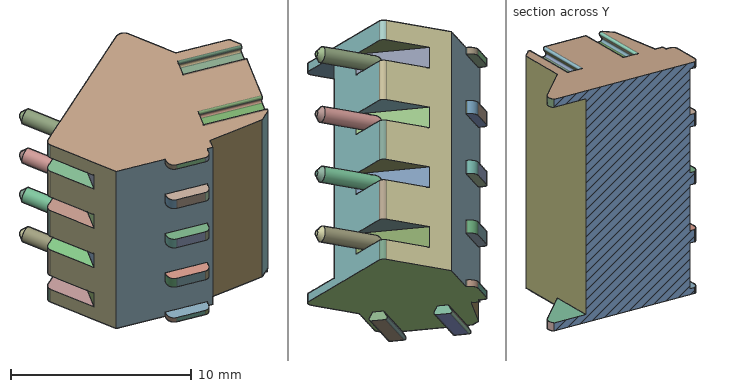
import cadquery as cq
import math

TOTAL_HEIGHT = 14.5
POLE_COUNT = 4
BODY_HEIGHT = 13.99
POLE_PITCH = BODY_HEIGHT / POLE_COUNT

BODY_WIDTH = 7.0
REAR_CHAMFER = 0.51
TAPER_REAR_X = 5.97
TAPER_FRONT_X = 6.5
PLUG_DEPTH = 3.71
FLANGE_REAR_DEPTH = 3.62
FOOT_DEPTH = 8.54
APEX_X = 3.9
APEX_RADIUS = 0.29
FLANGE_RADIUS = 0.52
FLANGE_THICKNESS = 0.51

RIDGE_WIDTH = 0.77
RIDGE_HEIGHT = 0.57
RIDGE_REAR_DEPTH = 4.03
RIDGE_FRONT_DEPTH = 6.48
RIDGE_REAR_RADIUS = 0.29
RIDGE_FRONT_RADIUS = 0.5

DOVETAIL_CENTERS = (1.12, 4.86)
DOVETAIL_NECK = 0.64
DOVETAIL_FLARE = math.radians(30)
DOVETAIL_ROUND = 0.12
RIB_HEIGHT = TOTAL_HEIGHT - BODY_HEIGHT
GROOVE_DEPTH = 0.58

SLOT_HEIGHT = 1.2
SLOT_FLOOR_DEPTH = 10.31
PIN_DIAMETER = 0.91
PIN_CHAMFER = 0.3
PIN_TIP_DEPTH = 12.83
PIN_AXIS_OFFSET = 12.93
PIN_EMBED = 0.87


def box(x_min, x_max, y_min, y_max, z_min, z_max):
    size = (x_max - x_min, y_max - y_min, z_max - z_min)
    return cq.Workplane("XY").box(*size, centered=False).translate((x_min, y_min, z_min))


def housing():
    """Plug and 45-degree foot; the foot's left corner remains only as two end flanges."""
    corner_x = (FLANGE_REAR_DEPTH - FOOT_DEPTH) / 2
    corner_y = -(FOOT_DEPTH + corner_x)
    apex_y = -(FOOT_DEPTH + APEX_X)
    outline = [
        (REAR_CHAMFER, 0),
        (TAPER_REAR_X - REAR_CHAMFER, 0),
        (TAPER_REAR_X, -REAR_CHAMFER),
        (TAPER_FRONT_X, -PLUG_DEPTH),
        (BODY_WIDTH, -PLUG_DEPTH),
        (BODY_WIDTH, apex_y + BODY_WIDTH - APEX_X),
        (APEX_X, apex_y),
        (corner_x, corner_y),
        (0, -FLANGE_REAR_DEPTH),
        (0, -REAR_CHAMFER),
    ]
    body = cq.Workplane("XY").polyline(outline).close().extrude(BODY_HEIGHT)
    body = body.edges("|Z").edges("<X").fillet(FLANGE_RADIUS)
    body = body.edges("|Z").edges("<Y").fillet(APEX_RADIUS)
    gap = box(corner_x, 0, -FOOT_DEPTH, 0, FLANGE_THICKNESS, BODY_HEIGHT - FLANGE_THICKNESS)
    return body.cut(gap)


def keying_ridge(z_center):
    """Rounded ridge on the right wall, trimmed where it would pass the body's ends."""
    z_min = max(z_center - RIDGE_WIDTH / 2, 0)
    z_max = min(z_center + RIDGE_WIDTH / 2, BODY_HEIGHT)
    outer_x = BODY_WIDTH + RIDGE_HEIGHT
    ridge = box(APEX_X, outer_x, -RIDGE_FRONT_DEPTH, -RIDGE_REAR_DEPTH, z_min, z_max)
    ridge = ridge.edges("|Z and >X and >Y").fillet(RIDGE_REAR_RADIUS)
    return ridge.edges("|Z and >X and <Y").fillet(RIDGE_FRONT_RADIUS)


def dovetail(x_center, z_neck, height):
    """Dovetail prism that widens downward from its neck."""
    half_neck = DOVETAIL_NECK / 2
    half_base = half_neck + height * math.tan(DOVETAIL_FLARE)
    outline = [(-half_neck, 0), (half_neck, 0), (half_base, -height), (-half_base, -height)]
    prism = cq.Workplane("XZ").polyline(outline).close().extrude(PLUG_DEPTH)
    prism = prism.edges("|Y and <Z").fillet(DOVETAIL_ROUND)
    return prism.translate((x_center, 0, z_neck))


def groove_lips(x_center):
    """Material to remove so that both lips of a groove are rounded."""
    half_neck = DOVETAIL_NECK / 2
    tangent_length = DOVETAIL_ROUND / math.tan((math.pi / 2 - DOVETAIL_FLARE) / 2)
    half_mouth = half_neck + tangent_length
    round_depth = DOVETAIL_ROUND * (1 + math.sin(DOVETAIL_FLARE))
    half_flank = half_neck + round_depth * math.tan(DOVETAIL_FLARE)
    half_bulge = half_mouth - DOVETAIL_ROUND
    lips = (
        cq.Workplane("XZ")
        .moveTo(half_mouth, 0)
        .threePointArc((half_bulge, -DOVETAIL_ROUND), (half_flank, -round_depth))
        .lineTo(-half_flank, -round_depth)
        .threePointArc((-half_bulge, -DOVETAIL_ROUND), (-half_mouth, 0))
        .close()
        .extrude(PLUG_DEPTH)
    )
    return lips.translate((x_center, 0, BODY_HEIGHT))


def pin_slot(z_center):
    z_min = z_center - SLOT_HEIGHT / 2
    y_min = -(FOOT_DEPTH + APEX_X)
    return box(0, BODY_WIDTH, y_min, -SLOT_FLOOR_DEPTH, z_min, z_min + SLOT_HEIGHT)


def solder_pin(z_center):
    """Round pin with a chamfered tip whose lowest point sits at PIN_TIP_DEPTH."""
    tip_radius = PIN_DIAMETER / 2 - PIN_CHAMFER
    tip_depth = PIN_TIP_DEPTH - tip_radius * math.cos(math.pi / 4)
    tip = (PIN_AXIS_OFFSET - tip_depth, -tip_depth, z_center)
    length = (tip_depth - SLOT_FLOOR_DEPTH) * math.sqrt(2) + PIN_EMBED
    axis = cq.Plane(origin=tip, xDir=(0, 0, 1), normal=(1, 1, 0))
    pin = cq.Workplane(axis).circle(PIN_DIAMETER / 2).extrude(length)
    return pin.faces("<Y").chamfer(PIN_CHAMFER)


result = housing()
for i in range(POLE_COUNT + 1):
    result = result.union(keying_ridge(i * POLE_PITCH))
for center in DOVETAIL_CENTERS:
    result = result.union(dovetail(center, 0, RIB_HEIGHT))
    result = result.cut(dovetail(center, BODY_HEIGHT, GROOVE_DEPTH))
    result = result.cut(groove_lips(center))
for i in range(POLE_COUNT):
    pole_z = (i + 0.5) * POLE_PITCH
    result = result.cut(pin_slot(pole_z))
    result = result.union(solder_pin(pole_z))